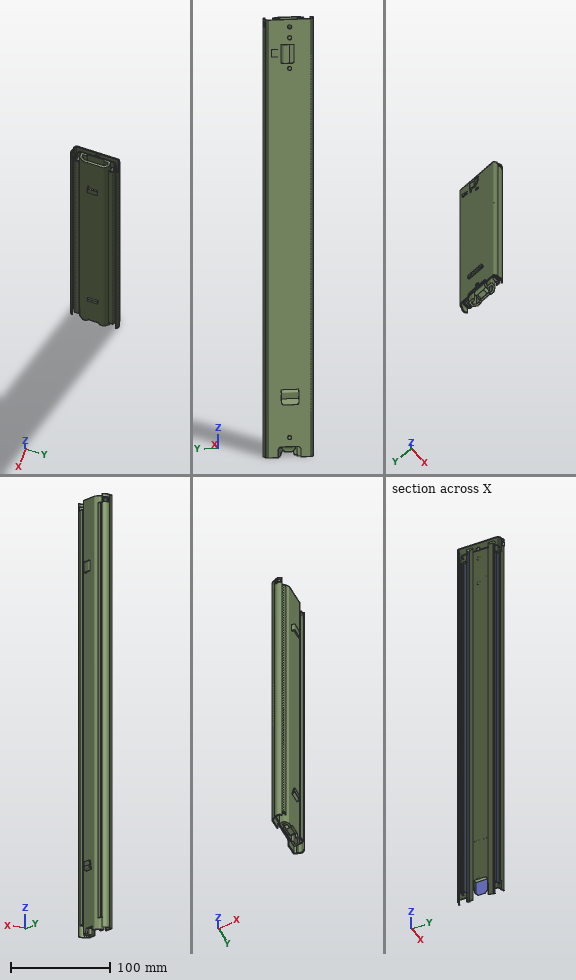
import cadquery as cq

length = 450.0
half_length = length / 2
half_width = 25.88
reach = 10.58

sheet = 1.12
half_sheet = sheet / 2
cabinet_back = -6.5
cabinet_web_half = 22.5
flange_half = 24.08
corner_x = -3.38
step_x = -2.0
race_start = (-0.5, 24.8)
race_peak_x = 2.0
race_end = (5.5, 23.62)

middle_back = -5.0
middle_front = 6.52
middle_half_width = 21.38
middle_web_half = 18.5
middle_corner_x = -2.0
middle_bend = 1.0
middle_lip_half = 15.8
middle_top = 217.0
middle_bottom = -214.0

drawer_sheet = 2.2
half_drawer_sheet = drawer_sheet / 2
drawer_front = 7.42
drawer_web_half = 11.0
drawer_half_width = 15.8
drawer_shoulder_x = 3.5
drawer_flange_end = -0.5
drawer_lip_half = 10.0

retainer_half_length = 211.5
retainer_x = (-1.0, 4.0)
outer_retainer_y = (21.82, 23.0)
inner_retainer_y = (16.88, 19.12)

window_half = 11.5
window_height = 11.0
window_corner = 2.2
mouth_half = 7.0
mouth_throat_half = 5.5
mouth_height = 4.5
web_hole_diameter = 4.0
web_hole_heights = (217.5, 206.0, 174.5, -204.8)
race_slot_x = (-0.5, 5.0)
race_slot_z = (217.0, 222.0)

block_back = -2.0
block_half = 6.8
block_nose_half = 4.0
block_top = -202.5
block_shoulder = -217.5
block_bottom = -220.5
block_bevel_z = (-214.0, -218.5)
block_bevel_depth = 1.5

hook_sheet = 1.5
half_hook_sheet = hook_sheet / 2
tip_x = reach - half_hook_sheet
hook_corner = 2.0
back_root = cabinet_back + half_sheet
front_root = drawer_front - half_drawer_sheet

side_hook_z = (180.5, 200.0)
side_hook_leg_y = (8.5, 6.5)
side_hook_bend_x = -9.0
side_hook_neck = (-8.32, 1.0)
side_hook_tip_y = -3.0

down_hook_half = 9.0
down_hook_root_z = -155.5
down_hook_bend = (-9.0, -158.0)
down_hook_neck = (-7.88, -164.2)
down_hook_tip_z = -169.5

front_hook_z = (148.5, 159.5)
front_hook_leg_y = (-6.0, -5.0)
front_hook_tip_y = 4.5

up_hook_half = 5.5
up_hook_root_z = -161.0
up_hook_bend = (10.0, -159.0)
up_hook_neck = (8.78, -156.5)
up_hook_tip_z = -152.5

tab_y = (12.5, 19.0)
tab_z = (187.0, 195.0)
tab_height = 1.5


def box(x, y, z):
    """Box between the two limits given for each axis."""
    size = (x[1] - x[0], y[1] - y[0], z[1] - z[0])
    return cq.Workplane("XY").box(*size, centered=False).translate((x[0], y[0], z[0]))


def mirrored(half_points):
    """Points from the -Y end to the +Y end, from those on the +Y half alone."""
    return [(x, -y) for x, y in reversed(half_points)] + half_points


def level(z):
    """Horizontal workplane at a height."""
    return cq.Workplane("XY", origin=(0, 0, z))


def make_cabinet_rail():
    back = cabinet_back + half_sheet
    peak = (race_peak_x, half_width - half_sheet)
    half_points = [
        (back, cabinet_web_half),
        (corner_x, flange_half),
        (step_x, flange_half),
        race_start,
    ]
    middle = mirrored(half_points)
    centreline = (
        level(-half_length)
        .moveTo(race_end[0], -race_end[1])
        .threePointArc((peak[0], -peak[1]), middle[0])
    )
    for point in middle[1:]:
        centreline = centreline.lineTo(*point)
    centreline = centreline.threePointArc(peak, race_end)
    rail = centreline.offset2D(half_sheet).extrude(length)

    rail = rail.cut(bottom_window()).cut(race_slots()).cut(web_holes())
    return rail.union(side_hook()).union(down_hook()).union(lanced_tab())


def bottom_window():
    window = box(
        (cabinet_back - sheet, cabinet_back + 2 * sheet),
        (-window_half, window_half),
        (-half_length, -half_length + window_height),
    )
    return window.edges("|X and >Z").chamfer(window_corner)


def race_slots():
    """One slot through the race bulge of each flange."""
    slots = cq.Workplane("XY")
    for side in (-1, 1):
        y = sorted((side * middle_half_width, side * half_width))
        slots.add(box(race_slot_x, y, race_slot_z))
    return slots.combine()


def web_holes():
    centres = [(0, z) for z in web_hole_heights]
    start = cq.Workplane("YZ", origin=(cabinet_back - sheet, 0, 0))
    return start.pushPoints(centres).circle(web_hole_diameter / 2).extrude(3 * sheet)


def tip_corner(y, z, inward):
    """Triangle cut from a lower tip corner at (y, z); inward is the Y direction into the hook."""
    outline = [(y, z), (y + inward * hook_corner, z), (y, z + hook_corner)]
    start = cq.Workplane("YZ", origin=(-reach, 0, 0))
    return start.polyline(outline).close().extrude(reach + cabinet_back)


def side_hook():
    """Hook open towards -Y, with the lower corner of its tip cut off."""
    root_y, bend_y = side_hook_leg_y
    path = [(back_root, root_y), (side_hook_bend_x, bend_y), side_hook_neck, (-tip_x, side_hook_tip_y)]
    bottom, top = side_hook_z
    hook = level(bottom).polyline(path).offset2D(half_hook_sheet).extrude(top - bottom)
    edge = side_hook_tip_y - half_hook_sheet
    return hook.cut(tip_corner(edge, bottom, 1))


def spring_hook(path, half_span):
    """Strip with its bends given in X and Z, spanning equally to both sides in Y."""
    strip = cq.Workplane("XZ").polyline(path).offset2D(half_hook_sheet)
    return strip.extrude(half_span, both=True)


def down_hook():
    """Spring hook on the cabinet rail, open downwards, with both tip corners cut off."""
    path = [(back_root, down_hook_root_z), down_hook_bend, down_hook_neck, (-tip_x, down_hook_tip_z)]
    hook = spring_hook(path, down_hook_half)
    edge = down_hook_tip_z - half_hook_sheet
    for side in (-1, 1):
        hook = hook.cut(tip_corner(side * down_hook_half, edge, -side))
    return hook


def lanced_tab():
    """Wedge that rises from the cabinet web towards +Y."""
    bottom, top = tab_z
    inner_y, outer_y = tab_y
    outline = [
        (back_root, inner_y),
        (cabinet_back, inner_y),
        (cabinet_back - tab_height, outer_y),
        (back_root, outer_y),
    ]
    return level(bottom).polyline(outline).close().extrude(top - bottom)


def make_middle_rail():
    front = middle_front - half_sheet
    side = middle_half_width - half_sheet
    half_points = [
        (middle_back + half_sheet, middle_web_half),
        (middle_corner_x, side),
        (front - middle_bend, side),
        (front, side - middle_bend),
        (front, middle_lip_half + half_sheet),
    ]
    centreline = level(middle_bottom).polyline(mirrored(half_points))
    return centreline.offset2D(half_sheet).extrude(middle_top - middle_bottom)


def make_drawer_rail():
    side = drawer_half_width - half_drawer_sheet
    half_points = [
        (front_root, drawer_web_half),
        (drawer_shoulder_x, side),
        (drawer_flange_end, side),
        (drawer_flange_end, drawer_lip_half),
    ]
    centreline = level(-half_length).polyline(mirrored(half_points))
    rail = centreline.offset2D(half_drawer_sheet).extrude(length)
    return rail.cut(bottom_mouth()).union(front_hook()).union(up_hook())


def bottom_mouth():
    outline = [
        (-mouth_half, -half_length),
        (-mouth_throat_half, -half_length + mouth_height),
        (mouth_throat_half, -half_length + mouth_height),
        (mouth_half, -half_length),
    ]
    return cq.Workplane("YZ").polyline(outline).close().extrude(reach)


def front_hook():
    """Hook on the drawer rail, open towards +Y."""
    root_y, bend_y = front_hook_leg_y
    path = [(front_root, root_y), (tip_x, bend_y), (tip_x, front_hook_tip_y)]
    bottom, top = front_hook_z
    return level(bottom).polyline(path).offset2D(half_hook_sheet).extrude(top - bottom)


def up_hook():
    """Spring hook on the drawer rail, open upwards."""
    path = [(front_root, up_hook_root_z), up_hook_bend, up_hook_neck, (tip_x, up_hook_tip_z)]
    return spring_hook(path, up_hook_half)


def make_retainer(side, y_limits):
    """Retainer strip on the +Y side (side = 1) or on the -Y side (side = -1)."""
    y = sorted(side * limit for limit in y_limits)
    return box(retainer_x, y, (-retainer_half_length, retainer_half_length))


def make_stop_block():
    outline = [
        (-block_half, block_top),
        (-block_half, block_shoulder),
        (-block_nose_half, block_bottom),
        (block_nose_half, block_bottom),
        (block_half, block_shoulder),
        (block_half, block_top),
    ]
    start = cq.Workplane("YZ", origin=(block_back, 0, 0))
    block = start.polyline(outline).close().extrude(drawer_front - drawer_sheet - block_back)
    bevel_top, bevel_bottom = block_bevel_z
    bevelled_back = block_back + block_bevel_depth
    bevel = [
        (block_back, bevel_top),
        (bevelled_back, bevel_bottom),
        (bevelled_back, block_bottom),
        (block_back, block_bottom),
    ]
    return block.cut(cq.Workplane("XZ").polyline(bevel).close().extrude(block_half, both=True))


cabinet_rail = make_cabinet_rail()
middle_rail = make_middle_rail()
drawer_rail = make_drawer_rail()
stop_block = make_stop_block()
retainers = [
    make_retainer(side, y_limits)
    for y_limits in (outer_retainer_y, inner_retainer_y)
    for side in (-1, 1)
]

result = cq.Compound.makeCompound(
    [cabinet_rail.val(), middle_rail.val(), drawer_rail.val(), stop_block.val()]
    + [retainer.val() for retainer in retainers]
)